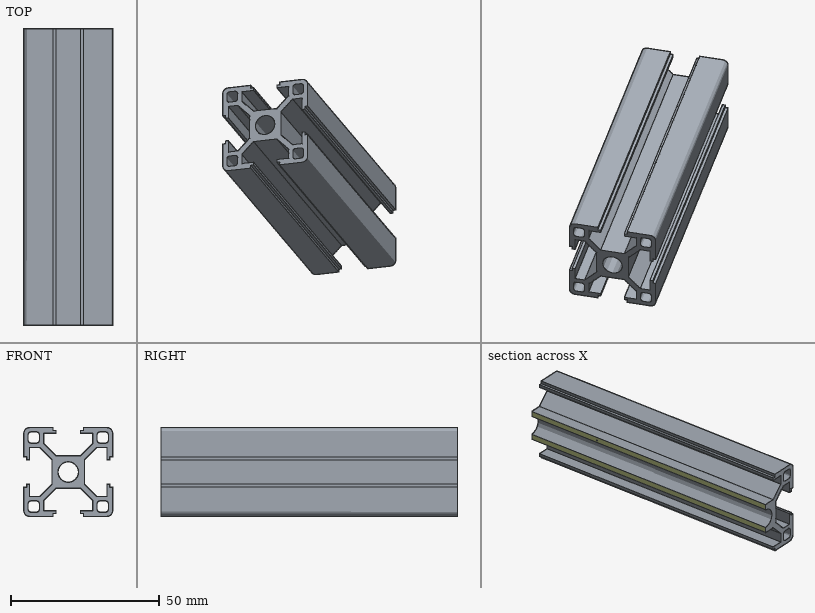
import cadquery as cq
import math

PROFILE_SIZE = 30.0
LENGTH = 100.0
CORNER_RADIUS = 2.0
CENTRE_BORE_DIAMETER = 6.8

SLOT_COUNT = 4
MOUTH_WIDTH = 10.2
THROAT_WIDTH = 8.2
LIP_STEP_DEPTH = 1.0
FLANGE_THICKNESS = 2.0
CHAMBER_WIDTH = 16.5
CORE_SIZE = 11.05
WEB_THICKNESS = 2.0

HOLLOW_WALL = 1.5
HOLLOW_RADIUS = 1.0

HALF_SIZE = PROFILE_SIZE / 2
HALF_CHAMBER = CHAMBER_WIDTH / 2
HALF_CORE = CORE_SIZE / 2
HOLLOW_SIZE = HALF_SIZE - HALF_CHAMBER - 2 * HOLLOW_WALL
HOLLOW_OFFSET = HALF_SIZE - HOLLOW_WALL - HOLLOW_SIZE / 2
WEB_SHIFT = WEB_THICKNESS / math.sqrt(2)


def extrude_along_y(sketch):
    """Extrude an XZ-plane sketch over the full length, centred on Y = 0."""
    return sketch.extrude(LENGTH / 2, both=True)


def make_blank():
    """Square bar with rounded long edges."""
    bar = extrude_along_y(cq.Workplane("XZ").rect(PROFILE_SIZE, PROFILE_SIZE))
    return bar.edges("|Y").fillet(CORNER_RADIUS)


def make_slot():
    """Cutter for the T-slot in the +Z side."""
    lip_height = HALF_SIZE - LIP_STEP_DEPTH
    undercut_height = HALF_SIZE - FLANGE_THICKNESS
    right_side = [
        (HALF_CORE - WEB_SHIFT, HALF_CORE),
        (HALF_CHAMBER, HALF_CHAMBER + WEB_SHIFT),
        (HALF_CHAMBER, undercut_height),
        (THROAT_WIDTH / 2, undercut_height),
        (THROAT_WIDTH / 2, lip_height),
        (MOUTH_WIDTH / 2, lip_height),
        (MOUTH_WIDTH / 2, HALF_SIZE),
    ]
    left_side = [(-x, z) for x, z in reversed(right_side)]
    return extrude_along_y(cq.Workplane("XZ").polyline(right_side + left_side).close())


def make_corner_hollows():
    """Cutter for the four rounded square hollows in the corners."""
    spacing = 2 * HOLLOW_OFFSET
    hollows = cq.Workplane("XZ").rarray(spacing, spacing, 2, 2).rect(HOLLOW_SIZE, HOLLOW_SIZE)
    return extrude_along_y(hollows).edges("|Y").fillet(HOLLOW_RADIUS)


def make_centre_bore():
    """Cutter for the round bore along the axis."""
    return extrude_along_y(cq.Workplane("XZ").circle(CENTRE_BORE_DIAMETER / 2))


result = make_blank()
slot = make_slot()
for index in range(SLOT_COUNT):
    angle = index * 360 / SLOT_COUNT
    result = result.cut(slot.rotate((0, 0, 0), (0, 1, 0), angle))
result = result.cut(make_corner_hollows())
result = result.cut(make_centre_bore())